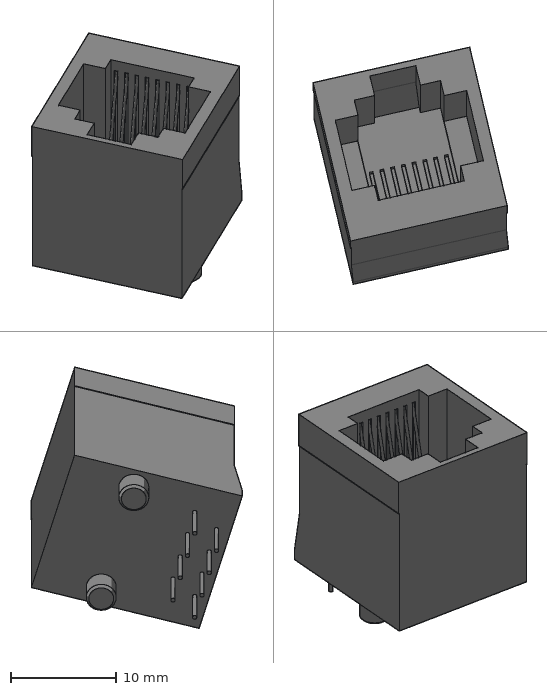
import cadquery as cq
import math

overall_height = 20.5
body_width = 15.13
body_height = 16.5
body_depth = 15.78
base_depth = 16.56
flare_start_height = 1.07
flare_end_height = 5.4
collar_width = 15.27
collar_height = 3.53

cavity_depth = 12.7
cavity_width = 8.4
cavity_front = 2.55
cavity_back = 12.53
side_notch_width = 12.81
side_notch_front = 4.04
side_notch_back = 11.03
side_notch_depth = 11.9
latch_width = 4.47
latch_front = 0.6
latch_ramp_back = 2.0
latch_ramp_height = 5.12

contact_count = 8
contact_pitch = 1.05
contact_row_offset = -0.03
wire_diameter = 0.3
slot_width = 0.35
slot_top = body_height - 1.23
slot_depth = slot_width
slot_front = 7.1
bend_height = slot_top - 0.45
wire_foot = 10.05
wire_embed = 0.2
wire_slant = 12.7

pin_length = overall_height - body_height
pin_diameter = 0.4
pin_pitch = 1.27
pin_row_offset = 0.18
front_row = 12.69
rear_row = 15.2

peg_diameter = 2.85
peg_length = 2.2
peg_chamfer = 0.25
peg_spacing = 11.4
peg_y = 6.38

cavity_floor = body_height - cavity_depth
side_notch_floor = body_height - side_notch_depth
slot_back = cavity_back + slot_depth
wire_back = slot_back - wire_diameter / 2
slot_floor = bend_height - (wire_back - wire_foot) / math.tan(math.radians(wire_slant))


def block(width, y_front, y_back, z_low, z_high, x=0.0):
    """A box centred on x across its width and placed by its limits in Y and Z."""
    corner = cq.Workplane("XY", origin=(x, y_front, z_low))
    return corner.box(width, y_back - y_front, z_high - z_low, centered=(True, False, False))


def row_positions(pitch, offset):
    return [(i - (contact_count - 1) / 2) * pitch + offset for i in range(contact_count)]


def housing():
    profile = [
        (0, 0),
        (base_depth, 0),
        (base_depth, flare_start_height),
        (body_depth, flare_end_height),
        (body_depth, body_height),
        (0, body_height),
    ]
    body = cq.Workplane("YZ").polyline(profile).close().extrude(body_width / 2, both=True)
    return body.union(block(collar_width, 0, body_depth, body_height - collar_height, body_height))


def cavity():
    main = block(cavity_width, cavity_front, cavity_back, cavity_floor, body_height)
    notches = block(side_notch_width, side_notch_front, side_notch_back, side_notch_floor, body_height)
    latch_profile = [
        (cavity_front, cavity_floor),
        (latch_ramp_back, cavity_floor),
        (latch_front, cavity_floor + latch_ramp_height),
        (latch_front, body_height),
        (cavity_front, body_height),
    ]
    latch = cq.Workplane("YZ").polyline(latch_profile).close().extrude(latch_width / 2, both=True)
    return main.union(notches).union(latch)


def contact_slot(x):
    floor_slot = block(slot_width, slot_front, cavity_back, slot_floor, cavity_floor, x)
    wall_slot = block(slot_width, cavity_back, slot_back, slot_floor, slot_top, x)
    return floor_slot.union(wall_slot)


def contact_wire(x):
    path = (
        cq.Workplane("YZ", origin=(x, 0, 0))
        .moveTo(wire_back, slot_top + wire_embed)
        .lineTo(wire_back, bend_height)
        .lineTo(wire_foot, slot_floor)
        .lineTo(wire_foot, slot_floor - wire_embed)
    )
    start = cq.Workplane("XY", origin=(x, wire_back, slot_top + wire_embed))
    return start.circle(wire_diameter / 2).sweep(path, transition="right")


def pegs():
    return (
        cq.Workplane("XY")
        .pushPoints([(-peg_spacing / 2, peg_y), (peg_spacing / 2, peg_y)])
        .circle(peg_diameter / 2)
        .extrude(-peg_length)
        .faces("<Z")
        .chamfer(peg_chamfer)
    )


def pins():
    points = []
    for i, x in enumerate(row_positions(pin_pitch, pin_row_offset)):
        points.append((x, rear_row if i % 2 == 0 else front_row))
    return cq.Workplane("XY").pushPoints(points).circle(pin_diameter / 2).extrude(-pin_length)


result = housing().cut(cavity())
for contact_x in row_positions(contact_pitch, contact_row_offset):
    result = result.cut(contact_slot(contact_x)).union(contact_wire(contact_x))
result = result.union(pegs()).union(pins())